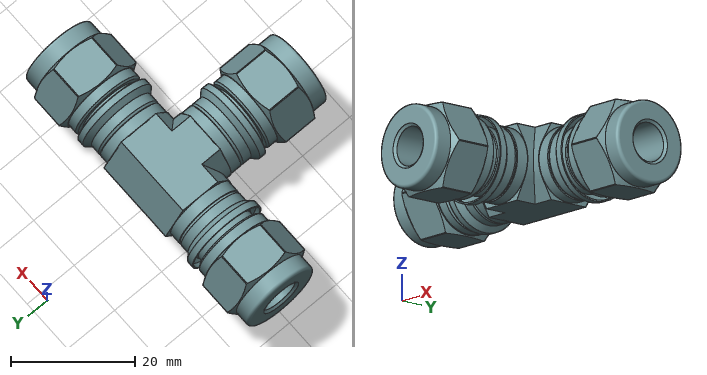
import cadquery as cq
import math


port_end = 27.65
nut_hex_outer = 24.6
nut_hex_inner = 17.0
nut_skirt_end = 15.0
collar_outer = 14.15
collar_inner = 12.95
core_shoulder = 13.6
recess_cone_start = 13.25
groove_outer = 10.2
groove_inner = 9.75
body_end = 7.65

nut_rim_diameter = 13.9
nut_skirt_diameter = 13.6
neck_diameter = 11.1
collar_diameter = 14.6
recess_diameter = 14.1
core_diameter = 11.45
stem_diameter = 12.6
tube_bore_diameter = 6.5
passage_diameter = 4.8

nut_across_flats = 14.25
nut_corner_diameter = 16.35
body_across_flats = 12.8
body_back = 7.35
nut_chamfer_angle = 30.0
rim_fillet = 0.55
skirt_chamfer = 0.35
groove_depth = 0.3
bore_chamfer = 0.45
tube_stop = 12.7

rim_radius = nut_rim_diameter / 2
skirt_radius = nut_skirt_diameter / 2
neck_radius = neck_diameter / 2
collar_radius = collar_diameter / 2
recess_radius = recess_diameter / 2
core_radius = core_diameter / 2
stem_radius = stem_diameter / 2
bore_radius = tube_bore_diameter / 2
nut_corner_radius = nut_corner_diameter / 2
body_radius = body_across_flats / 2
body_corner_radius = body_across_flats / math.sqrt(3)

cone_end = collar_inner - (collar_radius - stem_radius)
recess_bottom = recess_cone_start - (recess_radius - core_radius)
core_cone_start = core_shoulder - (core_radius - neck_radius)

half_flat = body_corner_radius / 2
tangent_side = body_radius * math.cos(math.radians(30))
tangent_z = body_radius * math.sin(math.radians(30))


def turned(points):
    """Revolve a closed (distance along X, radius) outline about the X axis."""
    return cq.Workplane("XY").polyline(points).close().revolve(360, (0, 0, 0), (1, 0, 0))


def stem():
    """Turned stem with a groove, a coned collar hollowed on its outer face, and a neck into the nut."""
    return turned([
        (0, 0),
        (0, stem_radius),
        (groove_inner, stem_radius),
        (groove_inner, stem_radius - groove_depth),
        (groove_outer, stem_radius),
        (cone_end, stem_radius),
        (collar_inner, collar_radius),
        (collar_outer, collar_radius),
        (collar_outer, recess_radius),
        (recess_cone_start, recess_radius),
        (recess_bottom, core_radius),
        (core_cone_start, core_radius),
        (core_shoulder, neck_radius),
        (nut_hex_inner, neck_radius),
        (nut_hex_inner, 0),
    ])


def nut_hexagon():
    """Hexagon with corners on +/-Y, its corners trimmed round and coned off at both ends."""
    prism = (
        cq.Workplane("YZ")
        .workplane(offset=nut_hex_inner)
        .polygon(6, 2 * nut_across_flats / math.sqrt(3))
        .extrude(nut_hex_outer - nut_hex_inner)
    )
    slope = math.tan(math.radians(nut_chamfer_angle))
    cones = turned([
        (nut_hex_inner, 0),
        (nut_hex_inner, rim_radius),
        (nut_hex_inner + slope * (nut_corner_radius - rim_radius), nut_corner_radius),
        (nut_hex_outer - slope * (nut_corner_radius - rim_radius), nut_corner_radius),
        (nut_hex_outer, rim_radius),
        (nut_hex_outer, 0),
    ])
    return prism.intersect(cones)


def nut():
    """Nut: hexagon between a round skirt and a round rim."""
    skirt = (
        cq.Workplane("YZ")
        .workplane(offset=nut_skirt_end)
        .circle(skirt_radius)
        .extrude(nut_hex_inner - nut_skirt_end)
        .faces("<X")
        .chamfer(skirt_chamfer)
    )
    rim = (
        cq.Workplane("YZ")
        .workplane(offset=nut_hex_outer)
        .circle(rim_radius)
        .extrude(port_end - nut_hex_outer)
        .faces(">X")
        .fillet(rim_fillet)
    )
    return skirt.union(nut_hexagon()).union(rim)


def port_bore():
    """Chamfered tube bore, with a narrower blind passage beyond the tube stop."""
    return turned([
        (body_end, 0),
        (body_end, passage_diameter / 2),
        (tube_stop, passage_diameter / 2),
        (tube_stop, bore_radius),
        (port_end - bore_chamfer, bore_radius),
        (port_end, bore_radius + bore_chamfer),
        (port_end, 0),
    ])


def arm():
    """One complete port along +X."""
    return stem().union(nut()).cut(port_bore())


def body_run():
    """Hexagonal run with a narrow flat on its +Y corner and a -Y corner rounded to the inscribed circle."""
    back_half_height = (body_corner_radius - body_back) * math.tan(math.radians(60))
    return (
        cq.Workplane("YZ")
        .workplane(offset=-body_end)
        .moveTo(body_back, -back_half_height)
        .lineTo(body_back, back_half_height)
        .lineTo(half_flat, body_radius)
        .lineTo(-half_flat, body_radius)
        .lineTo(-tangent_side, tangent_z)
        .threePointArc((-body_radius, 0), (-tangent_side, -tangent_z))
        .lineTo(-half_flat, -body_radius)
        .lineTo(half_flat, -body_radius)
        .close()
        .extrude(2 * body_end)
    )


def body_branch():
    """Hexagonal branch toward -Y with both side corners rounded to the inscribed circle."""
    return (
        cq.Workplane("XZ")
        .moveTo(-half_flat, body_radius)
        .lineTo(half_flat, body_radius)
        .lineTo(tangent_side, tangent_z)
        .threePointArc((body_radius, 0), (tangent_side, -tangent_z))
        .lineTo(half_flat, -body_radius)
        .lineTo(-half_flat, -body_radius)
        .lineTo(-tangent_side, -tangent_z)
        .threePointArc((-body_radius, 0), (-tangent_side, tangent_z))
        .close()
        .extrude(body_end)
    )


result = body_run().union(body_branch())
for port_angle in (0, -90, 180):
    result = result.union(arm().rotate((0, 0, 0), (0, 0, 1), port_angle))